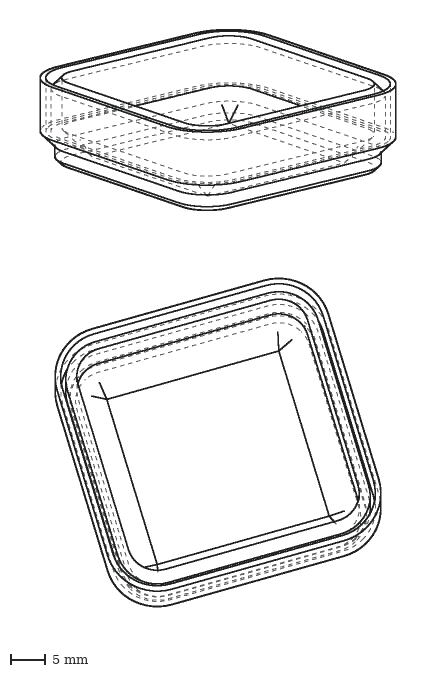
import cadquery as cq

width = 41.0
height = 12.75
corner_radius = 7.5
wall = 0.8

foot_inset = 2.15
foot_chamfer = 0.8
foot_top = 2.6
body_bottom = foot_top + foot_inset

groove_inset = 1.55
ridge_inset = 3.15
ridge_chamfer = ridge_inset - groove_inset
groove_floor = body_bottom

floor_height = 0.8
slope_rise = corner_radius - ridge_inset
slope_top = floor_height + slope_rise
floor_side = width - 2 * corner_radius


def rounded_block(bottom, top, inset):
    """Upright block drawn in from the outer walls, with concentric corners."""
    side = width - 2 * inset
    block = cq.Workplane("XY").workplane(offset=bottom).rect(side, side).extrude(top - bottom)
    return block.edges("|Z").fillet(corner_radius - inset)


def outer_body():
    foot = rounded_block(0, foot_top, foot_inset).faces("<Z").chamfer(foot_chamfer)
    upper = rounded_block(foot_top, height, 0).faces("<Z").chamfer(foot_inset)
    return foot.union(upper)


def groove():
    outer = rounded_block(groove_floor, height, wall)
    ridge = rounded_block(groove_floor, height, groove_inset)
    return outer.cut(ridge.faces(">Z").chamfer(ridge_chamfer))


def sloped_bowl():
    """Lower cavity: sloped sides with a quarter cone at each sharp floor corner."""
    floor_half = floor_side / 2
    top_half = floor_half + slope_rise
    profile = [
        (-floor_half, floor_height),
        (floor_half, floor_height),
        (top_half, slope_top),
        (-top_half, slope_top),
    ]
    along_y = cq.Workplane("XZ").polyline(profile).close().extrude(floor_half, both=True)
    along_x = along_y.rotate((0, 0, 0), (0, 0, 1), 90)
    bowl = along_y.union(along_x)
    tip = cq.Vector(0, 0, floor_height)
    cone = cq.Workplane(cq.Solid.makeCone(0, slope_rise, slope_rise, pnt=tip))
    for x in (-floor_half, floor_half):
        for y in (-floor_half, floor_half):
            bowl = bowl.union(cone.translate((x, y, 0)))
    return bowl


upper_cavity = rounded_block(slope_top, height, ridge_inset)
result = outer_body().cut(groove()).cut(upper_cavity).cut(sloped_bowl())